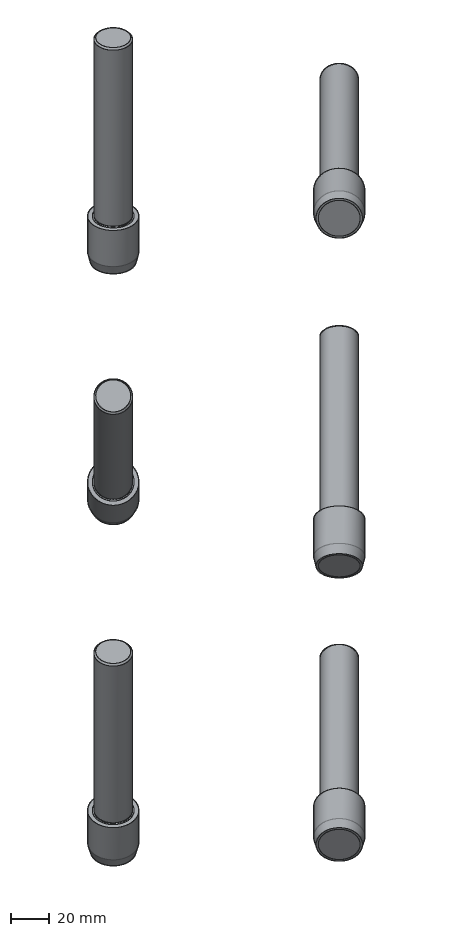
import cadquery as cq

total_length = 140.0
shank_radius = 20.0 / 2
shank_chamfer = 1.0
root_radius = 10.8

bushing_radius = 26.5 / 2
bushing_rim_height = 28.1
bushing_top_height = 28.5
taper_height = 5.5
taper_foot_radius = 24.0 / 2

shoulder_depth = 0.1
root_height = bushing_rim_height - shoulder_depth


def make_pin():
    """Round pin with a thicker root and a chamfered upper end."""
    shank = cq.Workplane("XY").circle(shank_radius).extrude(total_length)
    shank = shank.faces(">Z").chamfer(shank_chamfer)
    root = cq.Workplane("XY").circle(root_radius).extrude(root_height)
    return shank.union(root)


def make_bushing():
    """Round bushing with a tapered foot, a sloping top face and a stepped bore for the pin."""
    profile = (
        cq.Workplane("XZ")
        .moveTo(root_radius, 0)
        .lineTo(taper_foot_radius, 0)
        .lineTo(bushing_radius, taper_height)
        .lineTo(bushing_radius, bushing_rim_height)
        .lineTo(shank_radius, bushing_top_height)
        .lineTo(shank_radius, root_height)
        .lineTo(root_radius, root_height)
        .close()
    )
    return profile.revolve(360, (0, 0, 0), (0, 1, 0))


pin = make_pin()
bushing = make_bushing()

result = cq.Compound.makeCompound([pin.val(), bushing.val()])